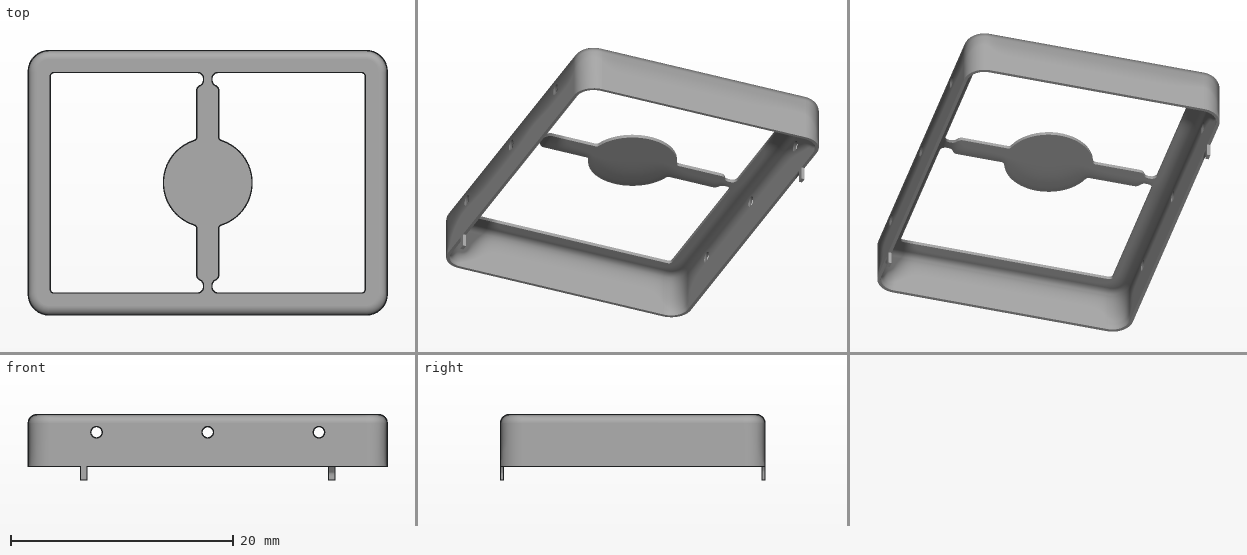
import cadquery as cq
import math

length = 32.3
width = 23.8
total_height = 5.9
sheet = 0.3

corner_radius = 1.9
top_edge_radius = 0.8

rim = 2.0
opening_corner_radius = 0.3

disc_diameter = 8.0
strip_width = 2.0
strip_root_radius = 0.3
neck_width = 0.8
neck_length = 1.2
neck_radius = 0.5

hole_diameter = 1.0
hole_count = 3
hole_pitch = 10.0
hole_depth_below_top = 1.6

tab_width = 0.6
tab_drop = 1.2
tab_offset = 11.15

body_height = total_height - tab_drop
opening_length = length - 2 * rim
opening_width = width - 2 * rim


def rounded_block(block_length, block_width, height, side_radius, edge_radius):
    """Block standing on Z = 0 with rounded upright corners and a rounded top edge."""
    block = cq.Workplane("XY").rect(block_length, block_width).extrude(height)
    block = block.edges("|Z").fillet(side_radius)
    return block.faces(">Z").edges().fillet(edge_radius)


def make_shell():
    """Open-bottomed can of even wall thickness."""
    outside = rounded_block(length, width, body_height, corner_radius, top_edge_radius)
    inside = rounded_block(
        length - 2 * sheet,
        width - 2 * sheet,
        body_height - sheet,
        corner_radius - sheet,
        top_edge_radius - sheet,
    )
    return outside.cut(inside)


def upright_edges_at(plate, x, y):
    """Upright edges of the plate at the four mirrored places (+-x, +-y)."""
    tolerance = 0.01

    def is_at_place(edge):
        center = edge.Center()
        return abs(abs(center.x) - x) < tolerance and abs(abs(center.y) - y) < tolerance

    return plate.edges("|Z").filter(is_at_place)


def make_strips():
    """Both strips in one piece, with necks that flare out to the rim of the opening."""
    half_strip = strip_width / 2
    half_neck = neck_width / 2
    rim_y = opening_width / 2
    neck_top_y = rim_y - neck_radius
    neck_bottom_y = rim_y - neck_length + neck_radius

    shoulder_step = half_strip - half_neck
    arc_centers_apart_x = 2 * neck_radius - shoulder_step
    shoulder_height = math.sqrt((2 * neck_radius) ** 2 - arc_centers_apart_x**2)
    shoulder_y = neck_bottom_y - shoulder_height

    quarter = (
        cq.Workplane("XY")
        .lineTo(half_strip, 0)
        .lineTo(half_strip, shoulder_y)
        .tangentArcPoint((half_strip - shoulder_step / 2, shoulder_y + shoulder_height / 2), relative=False)
        .tangentArcPoint((half_neck, neck_bottom_y), relative=False)
        .lineTo(half_neck, neck_top_y)
        .tangentArcPoint((half_neck + neck_radius, rim_y), relative=False)
        .lineTo(0, rim_y)
        .close()
        .extrude(body_height)
    )
    half = quarter.union(quarter.mirror("YZ"))
    return half.union(half.mirror("XZ")).clean()


def make_opening():
    """Cutter for the top opening, leaving the disc, strips and necks standing."""
    cutter = cq.Workplane("XY").rect(opening_length, opening_width).extrude(body_height)
    disc = cq.Workplane("XY").circle(disc_diameter / 2).extrude(body_height)
    cutter = cutter.cut(disc).cut(make_strips())

    strip_root_x = strip_width / 2
    strip_root_y = math.sqrt((disc_diameter / 2) ** 2 - strip_root_x**2)
    cutter = upright_edges_at(cutter, strip_root_x, strip_root_y).fillet(strip_root_radius)
    corners = upright_edges_at(cutter, opening_length / 2, opening_width / 2)
    return corners.fillet(opening_corner_radius)


def make_wall_holes():
    """Row of cylinders along Y that pierce both long walls."""
    return (
        cq.Workplane("XZ")
        .center(0, body_height - hole_depth_below_top)
        .rarray(hole_pitch, 1, hole_count, 1)
        .circle(hole_diameter / 2)
        .extrude(width, both=True)
    )


def make_tab(side):
    """Solder tab continuing a long wall downward; side is -1 (front) or +1 (back)."""
    wall_center = width / 2 - sheet / 2
    return (
        cq.Workplane("XY")
        .center(side * tab_offset, side * wall_center)
        .rect(tab_width, sheet)
        .extrude(-tab_drop)
    )


result = make_shell().cut(make_opening()).cut(make_wall_holes())
for tab_side in (-1, 1):
    result = result.union(make_tab(tab_side))